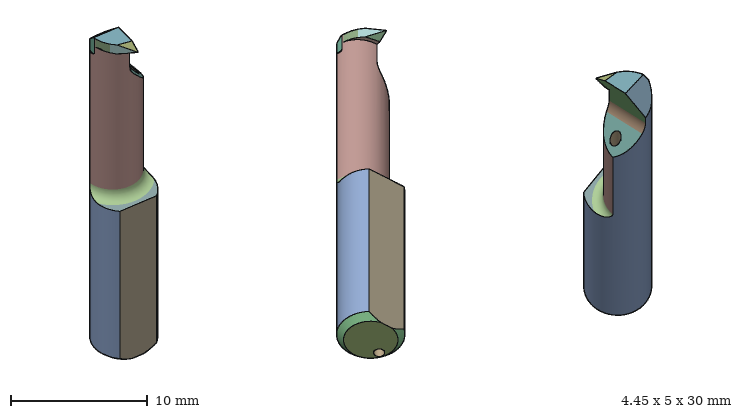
import cadquery as cq
import math

length = 30.0
shank_diameter = 5.0
shank_radius = shank_diameter / 2
width_across_flat = 4.45
flat_x = width_across_flat - shank_radius
end_chamfer = 0.5

neck_axis_x = -1.47
neck_radius = 2.25
shoulder_z = 14.8
shoulder_fillet = 0.8

runout_angle = 40.0
runout_z = 26.82
runout_blend = 1.65

head_mid_z = 29.505
head_half_height = length - head_mid_z
facet_start_x = 1.15
facet_slope = 0.58
facet_shift = 0.235
face_relief = 0.05
flank_top_y = -0.075
flank_end_y = -1.5
flank_end_x = flat_x + flank_end_y - flank_top_y
head_arc_mid = (-0.35, -1.995)
head_arc_end = (-1.23, -2.15)
recess_right_x = -0.7
recess_bottom_z = 28.32
recess_corner = 0.225

bevel_start_x = -0.7
bevel_drop = 1.75

hole_diameter = 0.8
hole_center = (-0.75, 1.32)


def make_shank():
    bar = cq.Workplane("XY").circle(shank_radius).extrude(length)
    return bar.faces("<Z").chamfer(end_chamfer)


def make_neck_envelope():
    """Round the bar may fill: wide up to the shoulder, then blended to the neck."""
    wide = 2 * shank_diameter
    blend_center = (neck_radius + shoulder_fillet, shoulder_z + shoulder_fillet)
    blend_leg = shoulder_fillet * math.sqrt(0.5)
    profile = (
        cq.Workplane("XZ", origin=(neck_axis_x, 0, 0))
        .lineTo(wide, 0)
        .lineTo(wide, shoulder_z)
        .lineTo(blend_center[0], shoulder_z)
        .threePointArc(
            (blend_center[0] - blend_leg, blend_center[1] - blend_leg),
            (neck_radius, blend_center[1]),
        )
        .lineTo(neck_radius, length)
        .lineTo(0, length)
        .close()
    )
    return profile.revolve(360, (0, 0, 0), (0, 1, 0))


def head_plan(bottom_z):
    """Plan outline of the head, raised from bottom_z to the top of the part."""
    return (
        cq.Workplane("XY", origin=(0, 0, bottom_z))
        .lineTo(flat_x, 0)
        .lineTo(flat_x, flank_top_y)
        .lineTo(flank_end_x, flank_end_y)
        .threePointArc(head_arc_mid, head_arc_end)
        .lineTo(head_arc_end[0], 0)
        .close()
        .extrude(length - bottom_z)
    )


def relief_section(sketch, depth):
    """Pointed section of the head at a depth behind the cutting face."""
    half_height = head_half_height - face_relief * depth
    corner_x = facet_start_x - facet_shift * depth
    point_x = corner_x + half_height / facet_slope
    return sketch.polyline([
        (-shank_radius, head_mid_z - half_height),
        (corner_x, head_mid_z - half_height),
        (point_x, head_mid_z),
        (corner_x, head_mid_z + half_height),
        (-shank_radius, head_mid_z + half_height),
    ]).close()


def make_head():
    front = relief_section(cq.Workplane("XZ"), 0)
    envelope = relief_section(front.workplane(offset=shank_radius), shank_radius).loft(ruled=True)
    return head_plan(head_mid_z - head_half_height).intersect(envelope)


def make_recess():
    """Shallow ground recess where the head outline runs inside the neck."""
    recess_width = recess_right_x - head_arc_end[0]
    block = (
        cq.Workplane("XZ", origin=(head_arc_end[0], 0, recess_bottom_z))
        .rect(recess_width, length - recess_bottom_z, centered=False)
        .extrude(shank_diameter)
        .edges("|Y and <Z")
        .fillet(recess_corner)
    )
    return block.cut(head_plan(recess_bottom_z))


def make_back_relief():
    slope = math.radians(runout_angle)
    tangent = runout_blend * math.tan(slope / 2)
    half_turn = slope / 2
    blend_end = (tangent * math.sin(slope), runout_z - tangent * math.cos(slope))
    blend_mid = (
        runout_blend * (1 - math.cos(half_turn)),
        runout_z + tangent - runout_blend * math.sin(half_turn),
    )
    outer_z = runout_z - shank_diameter / math.tan(slope)
    return (
        cq.Workplane("YZ", origin=(-shank_diameter, 0, 0))
        .moveTo(0, length)
        .lineTo(0, runout_z + tangent)
        .threePointArc(blend_mid, blend_end)
        .lineTo(shank_diameter, outer_z)
        .lineTo(shank_diameter, length)
        .close()
        .extrude(2 * shank_diameter)
    )


def make_top_relief():
    """Material removed over the bevel and over the slightly falling top face."""
    back_drop = face_relief * shank_radius
    bevel = (
        cq.Workplane("XZ", origin=(0, shank_radius, 0))
        .polyline([
            (bevel_start_x, length),
            (-shank_radius, length - bevel_drop),
            (-shank_radius, length),
        ])
        .close()
        .extrude(shank_diameter)
    )
    falling_top = (
        cq.Workplane("YZ", origin=(-shank_radius, 0, 0))
        .polyline([(0, length), (-shank_radius, length - back_drop), (-shank_radius, length)])
        .close()
        .extrude(shank_diameter)
    )
    return bevel.union(falling_top)


def make_flat():
    return (
        cq.Workplane("XY", origin=(flat_x, 0, 0))
        .rect(shank_diameter, 2 * shank_diameter)
        .extrude(length)
        .translate((shank_diameter / 2, 0, 0))
    )


body = make_shank().intersect(make_neck_envelope())
body = body.union(make_head()).cut(make_recess())
body = body.cut(make_back_relief()).cut(make_top_relief()).cut(make_flat())
result = body.cut(cq.Workplane("XY").center(*hole_center).circle(hole_diameter / 2).extrude(length))